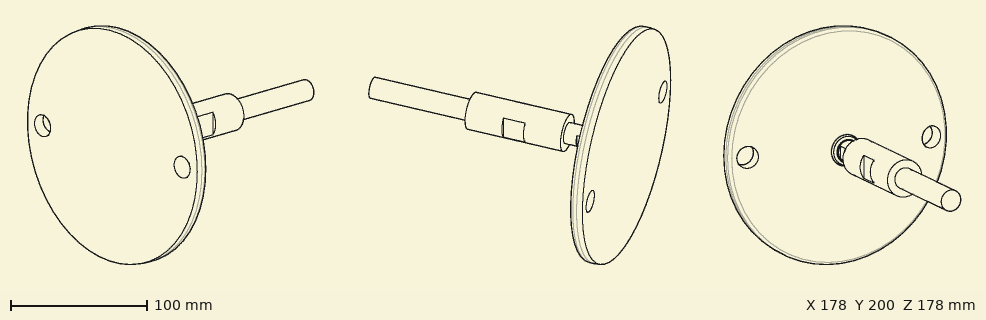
import cadquery as cq
import math


base_diameter = 178.0
floor_diameter = 177.2
rim_height = 9.5
rim_taper_height = 4.5
rim_fillet = 2.5
seat_diameter = 24.0
base_height = 22.5

anchor_diameter = 16.5
anchor_offset = 72.8

overall_length = 200.0
rod_diameter = 16.0
flange_diameter = 23.5
flange_widest_height = 23.5
flange_foot_diameter = 23.2
flange_shoulder_diameter = 21.5
flange_shoulder_height = 24.5
flange_top_diameter = 17.5
flange_top = 25.8
sleeve_diameter = 28.0
sleeve_bottom = 46.5
sleeve_length = 75.2

rod_flat_width = 13.0
rod_flat_bottom = 27.0
rod_flat_length = 9.5
sleeve_flat_width = 22.0
sleeve_flat_length = 17.0

base_radius = base_diameter / 2
seat_radius = seat_diameter / 2
cone_angle = math.atan2(base_height - rim_height, base_radius - seat_radius)


def revolve_about_y(profile):
    return profile.close().revolve(360, (0, 0, 0), (0, 1, 0))


def anchor_hole(side):
    """Cutter through the base, leaning outward; side is -1 or +1 along X."""
    lean = cq.Vector(side * math.sin(cone_angle), math.cos(cone_angle), 0)
    mouth = cq.Vector(side * anchor_offset, 0, 0)
    cutter_length = 3 * base_height
    start = mouth - lean * base_height
    return cq.Workplane(
        cq.Solid.makeCylinder(anchor_diameter / 2, cutter_length, start, lean)
    )


def make_base():
    tangent_length = rim_fillet * math.tan((math.pi / 2 - cone_angle) / 2)
    rim_top = rim_height - tangent_length
    cone_edge = (
        base_radius - tangent_length * math.cos(cone_angle),
        rim_height + tangent_length * math.sin(cone_angle),
    )
    mid_angle = (math.pi / 2 - cone_angle) / 2
    fillet_middle = (
        base_radius - rim_fillet + rim_fillet * math.cos(mid_angle),
        rim_top + rim_fillet * math.sin(mid_angle),
    )
    base = revolve_about_y(
        cq.Workplane("XY")
        .lineTo(floor_diameter / 2, 0)
        .lineTo(base_radius, rim_taper_height)
        .lineTo(base_radius, rim_top)
        .threePointArc(fillet_middle, cone_edge)
        .lineTo(seat_radius, base_height)
        .lineTo(0, base_height)
    )
    for side in (-1, 1):
        base = base.cut(anchor_hole(side))
    return base


def cut_flats(body, width, bottom, length):
    """Cut two flats facing -X and +X, the given width apart."""
    for side in (-1, 1):
        cutter = cq.Workplane("XY").box(
            sleeve_diameter, length, sleeve_diameter, centered=(True, False, True)
        )
        shift = side * (width + sleeve_diameter) / 2
        body = body.cut(cutter.translate((shift, bottom, 0)))
    return body


def make_spindle():
    rod_radius = rod_diameter / 2
    sleeve_radius = sleeve_diameter / 2
    sleeve_top = sleeve_bottom + sleeve_length
    spindle = revolve_about_y(
        cq.Workplane("XY")
        .moveTo(0, base_height)
        .lineTo(flange_foot_diameter / 2, base_height)
        .threePointArc(
            (flange_diameter / 2, flange_widest_height),
            (flange_shoulder_diameter / 2, flange_shoulder_height),
        )
        .lineTo(flange_top_diameter / 2, flange_top)
        .lineTo(rod_radius, flange_top)
        .lineTo(rod_radius, sleeve_bottom)
        .lineTo(sleeve_radius, sleeve_bottom)
        .lineTo(sleeve_radius, sleeve_top)
        .lineTo(rod_radius, sleeve_top)
        .lineTo(rod_radius, overall_length)
        .lineTo(0, overall_length)
    )
    spindle = cut_flats(spindle, rod_flat_width, rod_flat_bottom, rod_flat_length)
    sleeve_flat_bottom = sleeve_bottom + (sleeve_length - sleeve_flat_length) / 2
    return cut_flats(spindle, sleeve_flat_width, sleeve_flat_bottom, sleeve_flat_length)


base = make_base()
spindle = make_spindle()

result = cq.Compound.makeCompound([base.solids().val(), spindle.solids().val()])